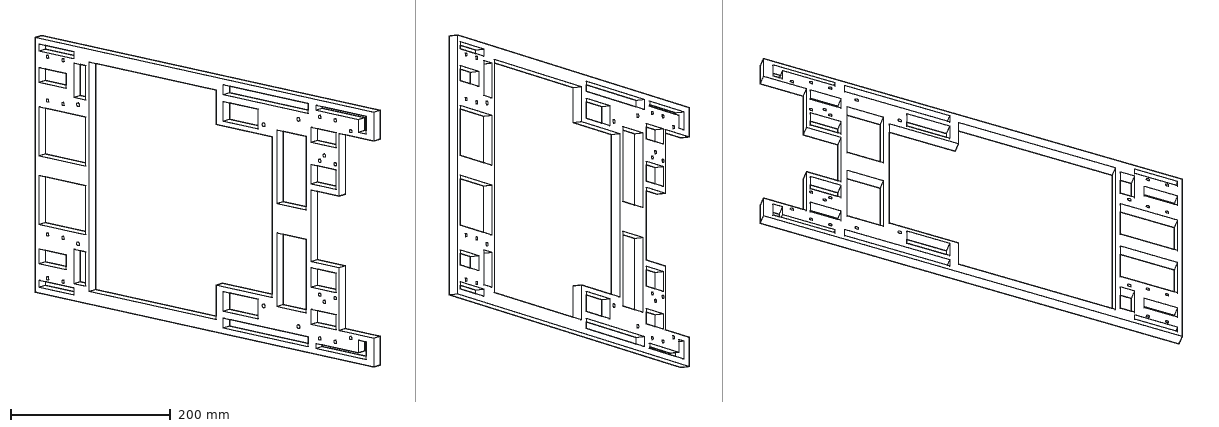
import cadquery as cq

length = 556.895
thickness = 12.7
height = 330.2
half_height = height / 2

wall = 6.35
slot_setback = 7.62
slot_top = half_height - slot_setback
slot_width = 12.7

window_left = 88.9
window_step_x = 297.5
window_right = 389.6
rail_width = 16.58
window_wide_z = half_height - rail_width
window_narrow_z = 104.01

cross_right = 453.65
tab_right = 499.7
tab_inner_z = 46.3
arm_inner_z = 127.6

left_pocket_right = window_left - wall
large_pocket_lower = 12.7
large_pocket_upper = 76.2
small_pocket_right = 50.8
small_pocket_lower = 107.95
small_pocket_upper = 127.0
upright_left = 63.5
upright_lower = 98.425
upright_upper = 142.875

middle_left = 309.245
long_slot_length = 139.7
long_slot_right = middle_left + long_slot_length
long_slot_lower = slot_top - slot_width
middle_pocket_length = 57.15
middle_pocket_height = 25.4
middle_pocket_right = middle_left + middle_pocket_length
middle_pocket_lower = window_narrow_z + wall
middle_pocket_upper = middle_pocket_lower + middle_pocket_height
cross_pocket_left = 397.4
cross_pocket_right = 445.6
cross_pocket_lower = 19.05
cross_pocket_upper = 114.3

tab_pocket_right = 494.6
outer_tab_pocket_lower = 108.2
inner_tab_pocket_lower = 54.3
inner_tab_pocket_upper = 79.5
arm_end_wall = 12.7
arm_leg_depth = 22.86
arm_slot_left = long_slot_right + arm_end_wall
arm_slot_right = length - arm_end_wall
arm_slot_lower = slot_top - wall
arm_leg_left = arm_slot_right - slot_width
arm_leg_lower = slot_top - arm_leg_depth

upper_pockets = [
    (wall, left_pocket_right, large_pocket_lower, large_pocket_upper),
    (wall, small_pocket_right, small_pocket_lower, small_pocket_upper),
    (upright_left, left_pocket_right, upright_lower, upright_upper),
    (wall, upright_left, window_wide_z, slot_top),
    (middle_left, long_slot_right, long_slot_lower, slot_top),
    (middle_left, middle_pocket_right, middle_pocket_lower, middle_pocket_upper),
    (cross_pocket_left, cross_pocket_right, cross_pocket_lower, cross_pocket_upper),
    (cross_right, tab_pocket_right, outer_tab_pocket_lower, arm_inner_z),
    (cross_right, tab_pocket_right, inner_tab_pocket_lower, inner_tab_pocket_upper),
    (arm_slot_left, arm_slot_right, arm_slot_lower, slot_top),
    (arm_leg_left, arm_slot_right, arm_leg_lower, slot_top),
]

small_hole_diameter = 4.1
large_hole_diameter = 4.7
pattern_left_x = 20.3
pattern_right_x = 468.0
pattern_width = 25.5
pattern_lower_z = 86.7
pattern_upper_z = 143.5
small_holes = [
    (corner_x + offset, z)
    for corner_x in (pattern_left_x, pattern_right_x)
    for offset in (0, pattern_width)
    for z in (pattern_lower_z, pattern_upper_z)
]
tab_hole = (475.5, 94.8)
arm_hole = (518.9, 134.0)
small_holes += [tab_hole, arm_hole]
upright_pocket_hole = (70.5, 90.1)
middle_pocket_hole = (375.7, 117.4)
cross_member_hole = (432.9, 134.2)
large_holes = [upright_pocket_hole, middle_pocket_hole, cross_member_hole]


def block(left, right, lower, upper):
    """Full-thickness box between the given X and Z positions."""
    corner = (left - length / 2, -thickness / 2, lower)
    box = cq.Workplane("XY").box(right - left, thickness, upper - lower, centered=False)
    return box.translate(corner)


def drills(points, diameter):
    """Cylinders along Y through the plate at the given (X, Z) points."""
    plane = cq.Workplane("XZ", origin=(-length / 2, 0, 0))
    return plane.pushPoints(points).circle(diameter / 2).extrude(thickness, both=True)


def cut_window(half):
    """Open the upper half of the stepped central window."""
    half = half.cut(block(window_left, window_step_x, 0, window_wide_z))
    return half.cut(block(window_left, window_right, 0, window_narrow_z))


def cut_right_end(half):
    """Step the right end back to the tab and to the cross member."""
    half = half.cut(block(tab_right, length, 0, arm_inner_z))
    return half.cut(block(cross_right, length, 0, tab_inner_z))


def cut_pockets(half):
    """Cut every window pocket and slot of the upper half."""
    for pocket in upper_pockets:
        half = half.cut(block(*pocket))
    return half


def drill_holes(half):
    """Drill the small and the large through holes."""
    half = half.cut(drills(small_holes, small_hole_diameter))
    return half.cut(drills(large_holes, large_hole_diameter))


upper_half = block(0, length, 0, half_height)
upper_half = cut_window(upper_half)
upper_half = cut_right_end(upper_half)
upper_half = cut_pockets(upper_half)
upper_half = drill_holes(upper_half)

lower_half = upper_half.mirror("XY")
result = upper_half.union(lower_half).clean()